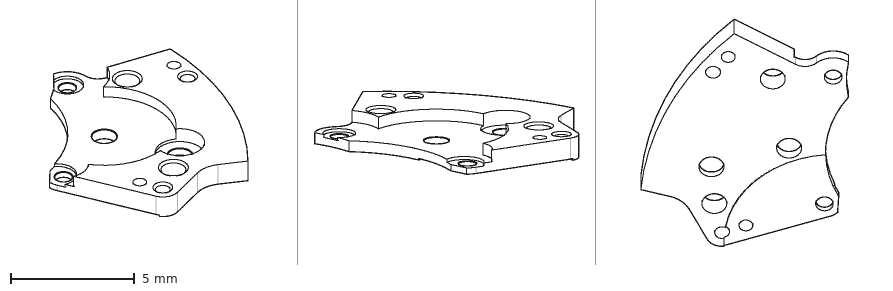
import cadquery as cq
import math

plate_height = 0.95
pocket_floor = 0.46
seat_floor = 0.33
relief_depth = 0.06

upper_ear = (0.76, 7.74)
lower_ear = (2.32, 1.34)
pocket_centre = (3.18, 4.47)
bearing_centre = (6.43, 4.11)
pin_holes = [(4.73, 9.54), (5.63, 0.84)]
small_screw_holes = [(5.47, 8.88), (6.64, 0.7)]
large_screw_holes = [(3.17, 8.09), (6.67, 2.23)]

pin_diameter = 0.55
small_screw_diameter = 0.6
small_screw_mouth = 0.8
large_screw_diameter = 1.0
large_screw_mouth = 1.21
ear_hole_diameter = 0.7
ear_hole_mouth = 0.76
pivot_diameter = 1.0
pivot_mouth = 1.06

pocket_radius = 2.9
upper_ear_clearance = 1.71
lower_ear_clearance = 1.0
bearing_seat_diameter = 2.0
upper_seat_diameter = 1.31
lower_seat_diameter = 1.6
lower_seat_centre = (2.07, 1.24)

outer_top = (4.27, 10.67)
outer_right = (9.45, 3.48)
outer_radius = 12.7
right_notch = (7.85, 2.66)
bottom_right = (7.15, -0.09)
ear_arc_start = (2.23, 0.67)
ear_arc_end = (1.87, 0.82)
ear_arc_radius = 0.68
inner_bottom = (1.68, 1.61)
inner_top = (0.35, 6.59)
inner_radius = 5.0
ear_tip = (0, 8.38)
ear_edge_radius = 5.13
ear_neck = (1.63, 8.2)

neck_fillet = 0.69
notch_fillet = 1.26
bottom_right_fillet = 0.67

relief_centre = (2.24, -0.59)
relief_radius = 4.48


def cylinder(centre, diameter, bottom, top):
    return cq.Workplane("XY", origin=(*centre, bottom)).circle(diameter / 2).extrude(top - bottom)


def countersunk_hole(centre, diameter, mouth, surface):
    """Through hole with a 45 degree chamfer where it meets the given surface height."""
    chamfer = (mouth - diameter) / 2
    cone = cq.Solid.makeCone(
        diameter / 2, mouth / 2, chamfer, pnt=cq.Vector(*centre, surface - chamfer)
    )
    return cylinder(centre, diameter, 0, surface).union(cq.Workplane(cone))


def arc_middle(start, end, radius):
    """Middle of the minor arc that bulges to the left of the line from start to end."""
    half_chord = math.dist(start, end) / 2
    rise = radius - math.sqrt(radius**2 - half_chord**2)
    left = (start[1] - end[1], end[0] - start[0])
    scale = rise / (2 * half_chord)
    return (
        (start[0] + end[0]) / 2 + left[0] * scale,
        (start[1] + end[1]) / 2 + left[1] * scale,
    )


def rounded_plate():
    ear_radius = math.dist(upper_ear, ear_tip)
    ear_top = (upper_ear[0], upper_ear[1] + ear_radius)
    plate = (
        cq.Workplane("XY")
        .moveTo(*outer_top)
        .threePointArc(arc_middle(outer_top, outer_right, outer_radius), outer_right)
        .lineTo(*right_notch)
        .lineTo(*bottom_right)
        .lineTo(*ear_arc_start)
        .threePointArc(arc_middle(ear_arc_start, ear_arc_end, ear_arc_radius), ear_arc_end)
        .lineTo(*inner_bottom)
        .threePointArc(arc_middle(inner_top, inner_bottom, inner_radius), inner_top)
        .threePointArc(arc_middle(ear_tip, inner_top, ear_edge_radius), ear_tip)
        .threePointArc(ear_top, ear_neck)
        .close()
        .extrude(plate_height)
    )
    rounded_corners = [
        (right_notch, notch_fillet),
        (bottom_right, bottom_right_fillet),
        (ear_neck, neck_fillet),
    ]
    for corner, radius in rounded_corners:
        edge_middle = (*corner, plate_height / 2)
        plate = plate.edges("|Z").edges(cq.NearestToPointSelector(edge_middle)).fillet(radius)
    return plate


result = rounded_plate()

for centre, radius in [
    (pocket_centre, pocket_radius),
    (upper_ear, upper_ear_clearance),
    (lower_ear, lower_ear_clearance),
]:
    result = result.cut(cylinder(centre, 2 * radius, pocket_floor, plate_height))

for centre, diameter in [
    (bearing_centre, bearing_seat_diameter),
    (upper_ear, upper_seat_diameter),
    (lower_seat_centre, lower_seat_diameter),
]:
    result = result.cut(cylinder(centre, diameter, seat_floor, plate_height))

result = result.cut(cylinder(relief_centre, 2 * relief_radius, 0, relief_depth))

for centre in pin_holes:
    result = result.cut(cylinder(centre, pin_diameter, 0, plate_height))

for centre in small_screw_holes:
    hole = countersunk_hole(centre, small_screw_diameter, small_screw_mouth, plate_height)
    result = result.cut(hole)
for centre in large_screw_holes:
    hole = countersunk_hole(centre, large_screw_diameter, large_screw_mouth, plate_height)
    result = result.cut(hole)

result = result.cut(countersunk_hole(pocket_centre, pivot_diameter, pivot_mouth, pocket_floor))
result = result.cut(countersunk_hole(bearing_centre, pivot_diameter, pivot_mouth, seat_floor))
for centre in [upper_ear, lower_ear]:
    result = result.cut(countersunk_hole(centre, ear_hole_diameter, ear_hole_mouth, seat_floor))